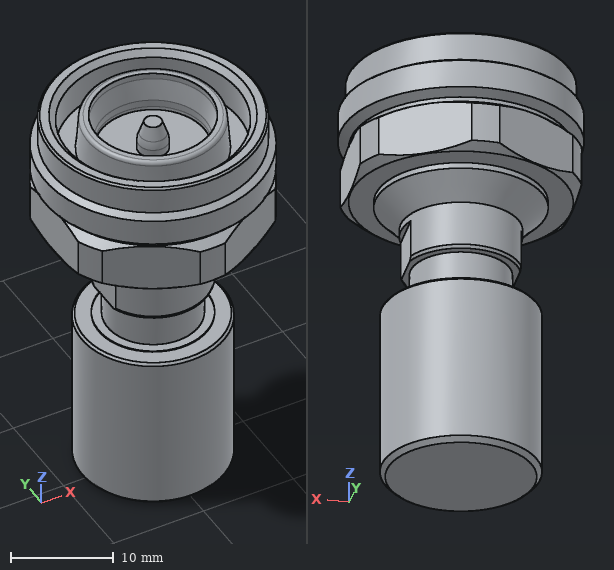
import cadquery as cq
import math

total_height = 42.9
collar_radius = 24.0 / 2

sleeve_radius = 7.9
sleeve_top = 17.85
sleeve_bottom_chamfer = 0.5
sleeve_top_chamfer = 0.25
ferrule_radius = 6.0
ferrule_step = 0.107

stem_radius = 5.0
neck_bottom = 22.0
neck_chamfer_height = 0.35
neck_chamfer_width = 0.17
neck_top = 26.95
neck_radius = 6.0
flange_bottom = 29.4
flange_radius = 8.5
wrench_flat_offset = 5.5
wrench_flat_top = 26.15

hex_across_flats = 22.0
hex_bottom = 30.0
hex_top = 35.45
hex_end_radius = 10.95
hex_chamfer_height = 0.7

groove_top = 35.9
collar_bottom = 36.5
collar_top = 39.4
collar_shoulder = 39.85
rim_radius = 11.25
rim_chamfer = 0.2

bore_radius = 9.5
bore_lead_in = 0.65
cavity_depth = 4.1
floor_height = total_height - cavity_depth

tube_root_radius = 7.55
tube_mouth_radius = 7.25
tube_edge_fillet = 0.45
socket_mouth_radius = 6.25
socket_mouth_depth = 0.65
socket_throat_radius = 5.75
socket_taper_end = 2.9
socket_foot_start = 3.75
socket_foot_radius = 5.7

pin_radius = 1.6
pin_tip_radius = 0.9
pin_tip_depth = 0.85
pin_nose_radius = 1.37
pin_nose_end = 2.27
pin_shoulder_end = 3.17


def revolve_profile(profile):
    """Turn a closed half profile (radius, height) about the Z axis."""
    return profile.close().revolve(360, (0, 0, 0), (0, 1, 0))


def make_lower_body():
    """Sleeve, stem, neck and conical flange up to the underside of the nut."""
    ferrule_top = sleeve_top + ferrule_step
    profile = (
        cq.Workplane("XZ")
        .lineTo(sleeve_radius - sleeve_bottom_chamfer, 0)
        .lineTo(sleeve_radius, sleeve_bottom_chamfer)
        .lineTo(sleeve_radius, sleeve_top - sleeve_top_chamfer)
        .lineTo(sleeve_radius - sleeve_top_chamfer, sleeve_top)
        .lineTo(ferrule_radius, sleeve_top)
        .lineTo(ferrule_radius, ferrule_top)
        .lineTo(stem_radius, ferrule_top)
        .lineTo(stem_radius, neck_bottom)
        .lineTo(neck_radius - neck_chamfer_width, neck_bottom)
        .lineTo(neck_radius, neck_bottom + neck_chamfer_height)
        .lineTo(neck_radius, neck_top)
        .lineTo(flange_radius, flange_bottom)
        .lineTo(flange_radius, hex_bottom)
        .lineTo(0, hex_bottom)
    )
    return revolve_profile(profile)


def cut_wrench_flats(body):
    """Mill two opposite flats on the neck, facing -X and +X."""
    flat_height = wrench_flat_top - neck_bottom
    flat_depth = neck_radius - wrench_flat_offset
    for side in (-1, 1):
        cutter = (
            cq.Workplane("XY")
            .box(flat_depth, 2 * neck_radius, flat_height, centered=(True, True, False))
            .translate((side * (wrench_flat_offset + flat_depth / 2), 0, neck_bottom))
        )
        body = body.cut(cutter)
    return body


def make_hex():
    """Hexagon with flats facing -X and +X, its corners turned round and chamfered."""
    across_corners = hex_across_flats / math.cos(math.pi / 6)
    prism = (
        cq.Workplane("XY")
        .workplane(offset=hex_bottom)
        .transformed(rotate=(0, 0, 30))
        .polygon(6, across_corners)
        .extrude(hex_top - hex_bottom)
    )
    envelope = (
        cq.Workplane("XZ")
        .moveTo(0, hex_bottom)
        .lineTo(hex_end_radius, hex_bottom)
        .lineTo(collar_radius, hex_bottom + hex_chamfer_height)
        .lineTo(collar_radius, hex_top - hex_chamfer_height)
        .lineTo(hex_end_radius, hex_top)
        .lineTo(0, hex_top)
    )
    return prism.intersect(revolve_profile(envelope))


def make_collar():
    """Grooved collar and open rim, hollowed down to the cavity floor."""
    profile = (
        cq.Workplane("XZ")
        .moveTo(0, hex_top)
        .lineTo(hex_end_radius, hex_top)
        .lineTo(hex_end_radius, groove_top)
        .lineTo(collar_radius, collar_bottom)
        .lineTo(collar_radius, collar_top)
        .lineTo(rim_radius, collar_shoulder)
        .lineTo(rim_radius, total_height - rim_chamfer)
        .lineTo(rim_radius - rim_chamfer, total_height)
        .lineTo(bore_radius + bore_lead_in, total_height)
        .lineTo(bore_radius, total_height - bore_lead_in)
        .lineTo(bore_radius, floor_height)
        .lineTo(0, floor_height)
    )
    return revolve_profile(profile)


def make_contact_tube():
    """Tapered tube standing on the cavity floor, flush with the rim."""
    fillet_mid = tube_edge_fillet * math.sin(math.pi / 4)
    fillet_centre_radius = tube_mouth_radius - tube_edge_fillet
    fillet_centre_height = total_height - tube_edge_fillet
    profile = (
        cq.Workplane("XZ")
        .moveTo(tube_root_radius, floor_height)
        .lineTo(tube_mouth_radius, fillet_centre_height)
        .threePointArc(
            (fillet_centre_radius + fillet_mid, fillet_centre_height + fillet_mid),
            (fillet_centre_radius, total_height),
        )
        .lineTo(socket_mouth_radius, total_height)
        .lineTo(socket_mouth_radius, total_height - socket_mouth_depth)
        .lineTo(socket_throat_radius, total_height - socket_taper_end)
        .lineTo(socket_throat_radius, total_height - socket_foot_start)
        .lineTo(socket_foot_radius, floor_height)
    )
    return revolve_profile(profile)


def make_pin():
    """Centre pin with a rounded shoulder, a conical nose and a flat tip."""
    shoulder_rise = pin_shoulder_end - pin_nose_end
    profile = (
        cq.Workplane("XZ")
        .moveTo(0, floor_height)
        .lineTo(pin_radius, floor_height)
        .lineTo(pin_radius, total_height - pin_shoulder_end)
        .tangentArcPoint((pin_nose_radius - pin_radius, shoulder_rise))
        .lineTo(pin_tip_radius, total_height - pin_tip_depth)
        .lineTo(0, total_height - pin_tip_depth)
    )
    return revolve_profile(profile)


lower_body = cut_wrench_flats(make_lower_body())
coupling_nut = make_hex().union(make_collar())
result = lower_body.union(coupling_nut).union(make_contact_tube()).union(make_pin())